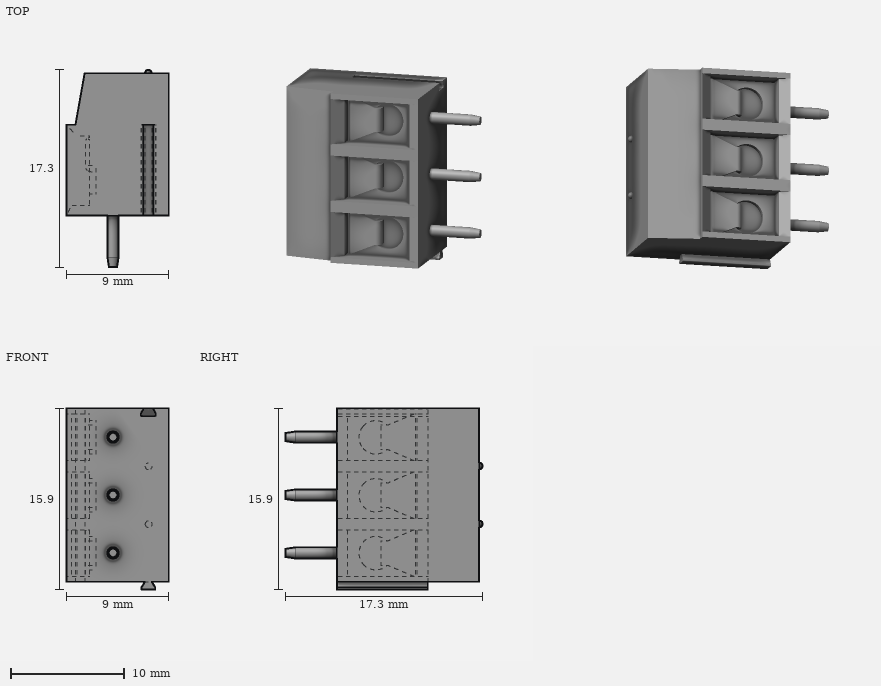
import cadquery as cq


pitch = 5.08
pole_count = 3
body_width = 9.0
body_length = 12.5
shoulder_length = 8.0
shoulder_x = 0.8
taper_end_x = 1.6
body_height = pitch * pole_count
pole_heights = [pitch * (index + 0.5) for index in range(pole_count)]

pocket_height = 4.08
pocket_depth = 2.0
pocket_front_y = 0.92
pocket_slope_x = 0.42
pocket_ledge_x = 0.9
pocket_back_y = 7.0

hole_radius = 1.47
hole_y = 3.4
hole_depth = 0.6

guard_x = 1.65
guard_back_y = 6.88
guard_back_radius = 0.4
guard_taper_y = 6.73
guard_neck_y = 4.44
guard_tip_y = 3.88
guard_tip_radius = 0.5
guard_tip_width = 2.13

pin_x = 4.1
pin_radius = 0.5
pin_length = 4.5
pin_root_depth = 1.0
pin_cone_length = 0.87
pin_tip_radius = 0.37

bump_radius = 0.3

dovetail_x = 7.2
dovetail_height = 0.69
dovetail_foot_rise = 0.2
rail_neck_width = 0.62
rail_foot_width = 1.24
groove_neck_width = 0.8
groove_foot_width = 1.32
dovetail_corner_radius = 0.08
groove_mouth_radius = 0.14


def housing():
    return (
        cq.Workplane("XY")
        .moveTo(0, 0)
        .lineTo(body_width, 0)
        .lineTo(body_width, body_length)
        .lineTo(taper_end_x, body_length)
        .lineTo(shoulder_x, shoulder_length)
        .lineTo(0, shoulder_length)
        .close()
        .extrude(body_height)
    )


def pocket(z):
    """Wire-entry pocket with a bevelled front wall and a chamfered back wall."""
    recess = (
        cq.Workplane("XY", origin=(0, 0, z))
        .moveTo(0, 0)
        .lineTo(pocket_slope_x, pocket_front_y)
        .lineTo(pocket_depth, pocket_front_y)
        .lineTo(pocket_depth, pocket_back_y)
        .lineTo(pocket_ledge_x, pocket_back_y)
        .lineTo(0, shoulder_length)
        .close()
        .extrude(pocket_height / 2, both=True)
    )
    hole = (
        cq.Workplane("YZ", origin=(pocket_depth, hole_y, z))
        .circle(hole_radius)
        .extrude(hole_depth)
    )
    return recess.union(hole)


def wire_guard(z):
    """Guard plate with rounded ends, tapering from the pocket height to a tongue inside the hole."""
    root_x = pocket_depth + hole_depth
    profile = (
        cq.Workplane("XY", origin=(0, 0, z))
        .moveTo(root_x, guard_tip_y)
        .lineTo(guard_x + guard_tip_radius, guard_tip_y)
        .radiusArc((guard_x, guard_tip_y + guard_tip_radius), guard_tip_radius)
        .lineTo(guard_x, guard_back_y - guard_back_radius)
        .radiusArc((guard_x + guard_back_radius, guard_back_y), guard_back_radius)
        .lineTo(root_x, guard_back_y)
        .close()
        .extrude(pocket_height / 2, both=True)
    )
    half_wide = pocket_height / 2
    half_tip = guard_tip_width / 2
    plan = (
        cq.Workplane("YZ", origin=(0, 0, z))
        .moveTo(guard_tip_y, -half_tip)
        .lineTo(guard_neck_y, -half_tip)
        .lineTo(guard_taper_y, -half_wide)
        .lineTo(guard_back_y, -half_wide)
        .lineTo(guard_back_y, half_wide)
        .lineTo(guard_taper_y, half_wide)
        .lineTo(guard_neck_y, half_tip)
        .lineTo(guard_tip_y, half_tip)
        .close()
        .extrude(root_x)
    )
    return profile.intersect(plan)


def solder_pin(z):
    """Round pin with a conical tip, revolved about an axis along Y and rooted inside the housing."""
    return (
        cq.Workplane("XY", origin=(pin_x, 0, z))
        .moveTo(0, pin_root_depth)
        .lineTo(pin_radius, pin_root_depth)
        .lineTo(pin_radius, pin_cone_length - pin_length)
        .lineTo(pin_tip_radius, -pin_length)
        .lineTo(0, -pin_length)
        .close()
        .revolve(360, (0, 0, 0), (0, 1, 0))
    )


def locating_bump(z):
    return cq.Workplane("XY", origin=(dovetail_x, body_length, z)).sphere(bump_radius)


def dovetail(neck_width, foot_width, z):
    """Dovetail bar along Y, hanging below height z, with rounded foot corners."""
    half_neck = neck_width / 2
    half_foot = foot_width / 2
    flank_bottom = dovetail_foot_rise - dovetail_height
    bar = (
        cq.Workplane("XZ", origin=(dovetail_x, shoulder_length, z))
        .moveTo(-half_neck, 0)
        .lineTo(-half_foot, flank_bottom)
        .lineTo(-half_foot, -dovetail_height)
        .lineTo(half_foot, -dovetail_height)
        .lineTo(half_foot, flank_bottom)
        .lineTo(half_neck, 0)
        .close()
        .extrude(shoulder_length)
    )
    return bar.faces("<Z").edges("|Y").fillet(dovetail_corner_radius)


def groove_mouth():
    """Flare that rounds both upper edges of the groove."""
    half_neck = groove_neck_width / 2
    half_mouth = half_neck + groove_mouth_radius
    return (
        cq.Workplane("XZ", origin=(dovetail_x, shoulder_length, body_height))
        .moveTo(-half_mouth, 0)
        .radiusArc((-half_neck, -groove_mouth_radius), groove_mouth_radius)
        .lineTo(half_neck, -groove_mouth_radius)
        .radiusArc((half_mouth, 0), groove_mouth_radius)
        .close()
        .extrude(shoulder_length)
    )


result = housing()
for pole_z in pole_heights:
    result = result.cut(pocket(pole_z))
    result = result.union(wire_guard(pole_z))
    result = result.union(solder_pin(pole_z))
for joint in range(1, pole_count):
    result = result.union(locating_bump(joint * pitch))
result = result.cut(dovetail(groove_neck_width, groove_foot_width, body_height))
result = result.cut(groove_mouth())
result = result.union(dovetail(rail_neck_width, rail_foot_width, 0))